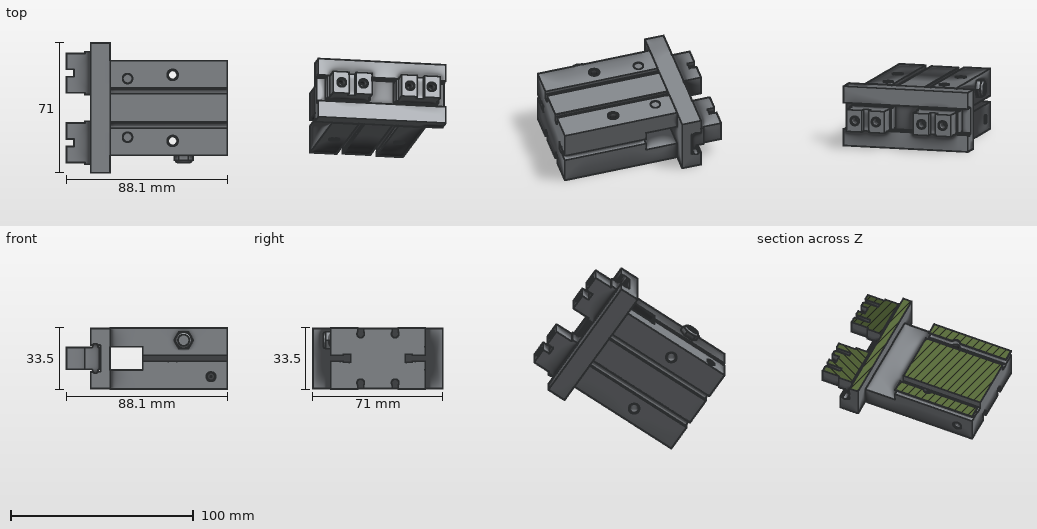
import cadquery as cq
import math


total_length = 88.1
rail_front_x = 13.2
rail_back_x = 24.0
rail_width = 71.0
rail_height = 32.95

body_width = 51.8
body_height = 33.5
centre_strip_height = 32.9
centre_strip_chamfer = 0.2

window_end_x = 41.8
window_height = 12.6
side_groove_neck_height = 3.35
side_groove_neck_depth = 7.05
side_groove_head_height = 4.4
side_groove_total_depth = 11.0

sensor_groove_y = 9.4
sensor_neck_width = 3.2
sensor_neck_depth = 2.1
sensor_channel_radius = 2.0

mount_hole_x = 58.15
mount_hole_y = 18.1
mount_hole_radius = 2.5
mount_hole_rim_radius = 3.0
pin_seat_x = 33.5
pin_seat_y = 16.0
pin_seat_rim_radius = 2.7
pin_seat_radius = 2.55
pin_seat_depth = 0.3
port_x = 79.1
port_z = -9.95
port_radius = 2.1
port_rim_radius = 2.55
port_depth = 7.05
port_passage_radius = 0.35
port_passage_depth = 10.6

plug_x = 64.1
plug_z = 9.95
plug_across_flats = 9.1
plug_hex_height = 2.7
plug_dome_radius = 4.4
plug_dome_height = 1.2
plug_recess_radius = 3.1
plug_recess_depth = 0.8

jaw_spacing = 38.1
jaw_height = 12.0
jaw_tip_width = 21.7
jaw_base_width = 23.6
jaw_step_x = 10.1
jaw_back_x = 18.15
jaw_notch_width = 4.0
jaw_notch_depth = 4.05
jaw_hole_spacing = 12.1
jaw_hole_radius = 2.1
jaw_hole_rim_radius = 2.55
jaw_hole_depth = 8.8

bead_x = 15.9
bead_z = 6.6
bead_radius = 1.5
bead_shoulder = 0.4

pocket_back_x = 18.8
pocket_height = 14.5
pocket_corner_chamfer = 0.4
lip_relief_start_x = 14.1
lip_relief_depth = 0.3


def box(x_range, y_range, z_range):
    """Axis-aligned box between the given limits."""
    size = [high - low for low, high in (x_range, y_range, z_range)]
    return cq.Workplane("XY").box(*size, centered=False).translate((x_range[0], y_range[0], z_range[0]))


def centred_box(x_start, x_end, width, height):
    """Box along X, centred on Y = 0 and Z = 0."""
    return box((x_start, x_end), (-width / 2, width / 2), (-height / 2, height / 2))


def rimmed_hole(radius, rim_radius, depth, start, direction):
    """Cutter for a round hole with a 45 degree rim and a flat end."""
    rim = rim_radius - radius
    profile = cq.Workplane("XZ").lineTo(rim_radius, 0).lineTo(radius, -rim).lineTo(radius, -depth)
    cutter = profile.lineTo(0, -depth).close().revolve(360, (0, 0, 0), (0, 1, 0))
    turns = {"-Z": ((1, 0, 0), 0), "+Z": ((1, 0, 0), 180), "+Y": ((1, 0, 0), 90), "+X": ((0, 1, 0), -90)}
    axis, angle = turns[direction]
    return cutter.rotate((0, 0, 0), axis, angle).translate(start)


def bead(width):
    """Round guide beads along Y, above and below the centre."""
    rods = cq.Workplane("XZ").pushPoints([(bead_x, bead_z), (bead_x, -bead_z)]).circle(bead_radius)
    return rods.extrude(width / 2, both=True)


def make_body():
    """Main block with its window and an undercut groove along each side."""
    body = centred_box(rail_back_x, total_length, body_width, body_height)
    body = body.cut(centred_box(rail_back_x, window_end_x, body_width, window_height))
    outer_y = body_width / 2
    neck_y = (outer_y - side_groove_neck_depth, outer_y)
    head_y = (outer_y - side_groove_total_depth, outer_y - side_groove_neck_depth)
    groove_x = (window_end_x, total_length)
    neck = box(groove_x, neck_y, (-side_groove_neck_height / 2, side_groove_neck_height / 2))
    head = box(groove_x, head_y, (-side_groove_head_height / 2, side_groove_head_height / 2))
    groove = neck.union(head)
    return body.cut(groove).cut(groove.mirror("XZ"))


def sensor_groove_cutters():
    """Sensor grooves in the top and bottom faces and the shallow step between them."""
    length = total_length - rail_back_x
    neck_half = sensor_neck_width / 2
    top_z = body_height / 2
    channel_z = top_z - sensor_neck_depth - math.sqrt(sensor_channel_radius**2 - neck_half**2)
    groove_outer_y = sensor_groove_y + neck_half
    strip_half = sensor_groove_y - neck_half
    strip_z = centre_strip_height / 2
    start_plane = cq.Workplane("YZ", origin=(rail_back_x, 0, 0))
    above_strip = start_plane.polyline([
        (-groove_outer_y, top_z),
        (-groove_outer_y, strip_z - centre_strip_chamfer),
        (-strip_half, strip_z - centre_strip_chamfer),
        (-strip_half + centre_strip_chamfer, strip_z),
        (strip_half - centre_strip_chamfer, strip_z),
        (strip_half, strip_z - centre_strip_chamfer),
        (groove_outer_y, strip_z - centre_strip_chamfer),
        (groove_outer_y, top_z),
    ])
    top_cut = above_strip.close().extrude(length)
    for y in (-sensor_groove_y, sensor_groove_y):
        neck = box((rail_back_x, total_length), (y - neck_half, y + neck_half), (channel_z, top_z))
        channel = start_plane.center(y, channel_z).circle(sensor_channel_radius).extrude(length)
        top_cut = top_cut.union(neck).union(channel)
    return top_cut, top_cut.mirror("XY")


def body_hole_cutters():
    """Through mounting holes, shallow pin seats and the air port with its narrow passage."""
    cutters = []
    for side in (-1, 1):
        for face, direction in ((1, "-Z"), (-1, "+Z")):
            face_z = face * body_height / 2
            start = (mount_hole_x, side * mount_hole_y, face_z)
            half_depth = body_height / 2
            cutters.append(rimmed_hole(mount_hole_radius, mount_hole_rim_radius, half_depth, start, direction))
        seat_start = (pin_seat_x, side * pin_seat_y, body_height / 2)
        cutters.append(rimmed_hole(pin_seat_radius, pin_seat_rim_radius, pin_seat_depth, seat_start, "-Z"))
    port_start = (port_x, -body_width / 2, port_z)
    cutters.append(rimmed_hole(port_radius, port_rim_radius, port_depth, port_start, "+Y"))
    passage = cq.Workplane("XZ", origin=port_start).circle(port_passage_radius).extrude(-port_passage_depth)
    cutters.append(passage)
    return cutters


def make_plug():
    """Hexagonal plug with a rounded rim and a recessed end, standing on the -Y face."""
    across_corners = plug_across_flats / math.cos(math.radians(30))
    base = cq.Workplane("XZ", origin=(plug_x, -body_width / 2, plug_z))
    hexagon = base.polygon(6, across_corners).extrude(plug_hex_height)
    dome = base.circle(plug_dome_radius).extrude(plug_hex_height + plug_dome_height)
    dome = dome.faces("<Y").edges().fillet(plug_dome_height)
    recess = base.workplane(offset=plug_hex_height + plug_dome_height - plug_recess_depth)
    recess = recess.circle(plug_recess_radius).extrude(plug_recess_depth)
    return hexagon.union(dome).cut(recess)


def make_rail():
    """Cross rail with a beaded pocket running its full width and slightly relieved lips."""
    rail = centred_box(rail_front_x, rail_back_x, rail_width, rail_height)
    pocket = centred_box(rail_front_x, pocket_back_x, rail_width, pocket_height)
    pocket = pocket.edges(">X and |Y").chamfer(pocket_corner_chamfer)
    lip_z = pocket_height / 2
    relief_z = lip_z + lip_relief_depth
    relief_end_x = bead_x - math.sqrt(bead_radius**2 - (relief_z - bead_z) ** 2)
    relief_points = [(lip_relief_start_x, lip_z), (relief_end_x, relief_z), (bead_x, lip_z)]
    relief = cq.Workplane("XZ").polyline(relief_points).close().extrude(rail_width / 2, both=True)
    return rail.cut(pocket).cut(bead(rail_width)).cut(relief).cut(relief.mirror("XY"))


def make_housing():
    """Body, rail and plug as one solid."""
    housing = make_body()
    for cutter in (*sensor_groove_cutters(), *body_hole_cutters()):
        housing = housing.cut(cutter)
    return housing.union(make_rail()).union(make_plug()).solids().val()


def make_jaw(centre_y):
    """Jaw with a notched tip, two screw holes and beads that run in the rail."""
    jaw = centred_box(0, jaw_step_x, jaw_tip_width, jaw_height)
    jaw = jaw.union(centred_box(jaw_step_x, jaw_back_x, jaw_base_width, jaw_height))
    shoulder_half = bead_radius + bead_shoulder
    shoulder_z = jaw_height / 2 + bead_shoulder
    for face in (-1, 1):
        root_z = face * jaw_height / 2
        neck = cq.Workplane("XZ").polyline([
            (bead_x - shoulder_half, root_z),
            (bead_x - bead_radius, face * shoulder_z),
            (bead_x - bead_radius, face * bead_z),
            (bead_x + bead_radius, face * bead_z),
            (bead_x + bead_radius, face * shoulder_z),
            (bead_x + shoulder_half, root_z),
        ])
        jaw = jaw.union(neck.close().extrude(jaw_base_width / 2, both=True))
    jaw = jaw.union(bead(jaw_base_width))
    jaw = jaw.cut(centred_box(0, jaw_notch_depth, jaw_notch_width, jaw_height))
    for side in (-1, 1):
        hole_start = (0, side * jaw_hole_spacing / 2, 0)
        jaw = jaw.cut(rimmed_hole(jaw_hole_radius, jaw_hole_rim_radius, jaw_hole_depth, hole_start, "+X"))
    return jaw.translate((0, centre_y, 0)).solids().val()


housing = make_housing()
jaws = [make_jaw(side * jaw_spacing / 2) for side in (-1, 1)]

result = cq.Compound.makeCompound([housing, *jaws])